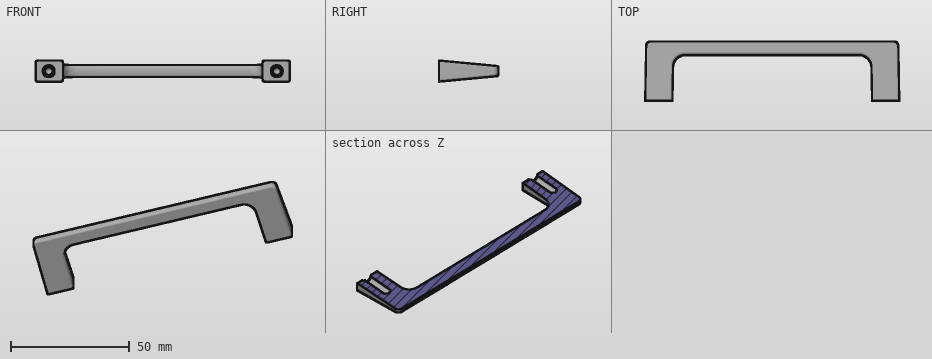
import cadquery as cq
import math

length = 107.0
depth = 25.0
foot_height = 9.0
tip_height = 4.3

foot_width = 11.6
bar_depth = 5.9
leg_lean = 0.4
crown_radius = 6.4
outer_corner_radius = 2.0
inner_corner_radius = 5.0
edge_radius = 1.0

hole_spacing = 96.0
hole_diameter = 3.3
hole_depth = 12.8
drill_tip_angle = 118.0
countersink_diameter = 5.0
countersink_depth = 0.9

half_length = length / 2
half_foot = foot_height / 2
half_tip = tip_height / 2
inner_half_length = half_length - foot_width
front_y = -depth / 2
back_y = depth / 2
bar_y = back_y - bar_depth


def leaning_prism(half_width):
    """Full-size prism whose two ends lean inward from the feet to the back."""
    return (
        cq.Workplane("XY")
        .workplane(offset=-half_foot)
        .polyline([
            (-half_width, front_y),
            (half_width, front_y),
            (half_width - leg_lean, back_y),
            (-half_width + leg_lean, back_y),
        ])
        .close()
        .extrude(foot_height)
    )


def wedge():
    """Side profile tapering from the feet to the grip bar."""
    return (
        cq.Workplane("YZ")
        .polyline([
            (front_y, -half_foot),
            (back_y, -half_tip),
            (back_y, half_tip),
            (front_y, half_foot),
        ])
        .close()
        .extrude(half_length, both=True)
    )


def finger_opening():
    """Space between the legs, hollowed where it meets the crowned grip bar."""
    crown_end_y = bar_y + crown_radius - math.sqrt(crown_radius**2 - half_foot**2)
    side_profile = (
        cq.Workplane("YZ")
        .moveTo(front_y, -half_foot)
        .lineTo(crown_end_y, -half_foot)
        .threePointArc((bar_y, 0), (crown_end_y, half_foot))
        .lineTo(front_y, half_foot)
        .close()
        .extrude(half_length, both=True)
    )
    return leaning_prism(inner_half_length).intersect(side_profile)


def rounded_corners(body):
    """Round the two outer corners and the two corners inside the opening."""
    body = body.edges(">Y").edges("<X or >X").edges("not |X").fillet(outer_corner_radius)
    inside_corners = cq.selectors.BoxSelector(
        (-inner_half_length, bar_y - edge_radius, -half_tip),
        (inner_half_length, bar_y + edge_radius, half_tip),
    )
    return body.edges(inside_corners).edges("not |X").fillet(inner_corner_radius)


def rounded_rims(body):
    """Round the rims of both sloping faces; the edges along the feet stay sharp."""
    for side in (1, -1):
        slope_normal = cq.Vector(0, half_foot - half_tip, side * depth)
        sloping_face = body.faces(cq.selectors.ParallelDirSelector(slope_normal))
        body = sloping_face.edges("not(<Y)").fillet(edge_radius)
    return body


def screw_hole(x):
    """Countersunk blind hole with a drilled tip, running back from a foot."""
    radius = hole_diameter / 2
    tip_depth = radius / math.tan(math.radians(drill_tip_angle / 2))
    half_section = (
        cq.Workplane("XY", origin=(x, front_y, 0))
        .polyline([
            (0, 0),
            (countersink_diameter / 2, 0),
            (radius, countersink_depth),
            (radius, hole_depth),
            (0, hole_depth + tip_depth),
        ])
        .close()
    )
    return half_section.revolve(360, (0, 0, 0), (0, 1, 0))


handle = leaning_prism(half_length).intersect(wedge()).cut(finger_opening())
result = rounded_rims(rounded_corners(handle))
for hole_x in (-hole_spacing / 2, hole_spacing / 2):
    result = result.cut(screw_hole(hole_x))